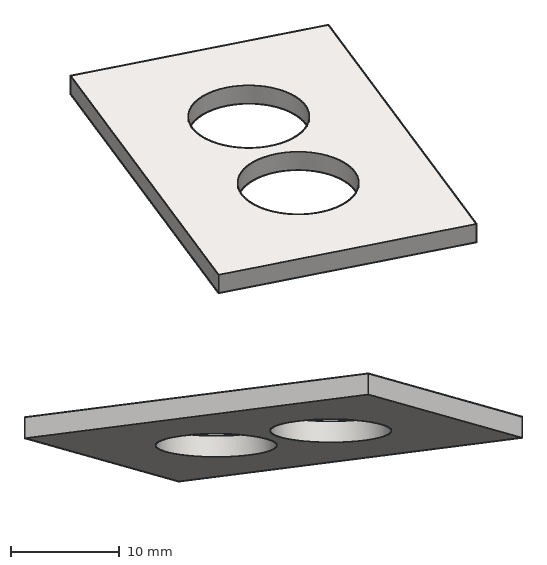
import cadquery as cq

length = 38.1
width = 25.4
thickness = 2.0

hole_diameter = 11.15
hole_spacing = length / 3

plate = cq.Workplane("XY").box(length, width, thickness)

result = (
    plate.faces(">Z")
    .workplane()
    .rarray(hole_spacing, 0.4, 2, 1)
    .hole(hole_diameter)
)